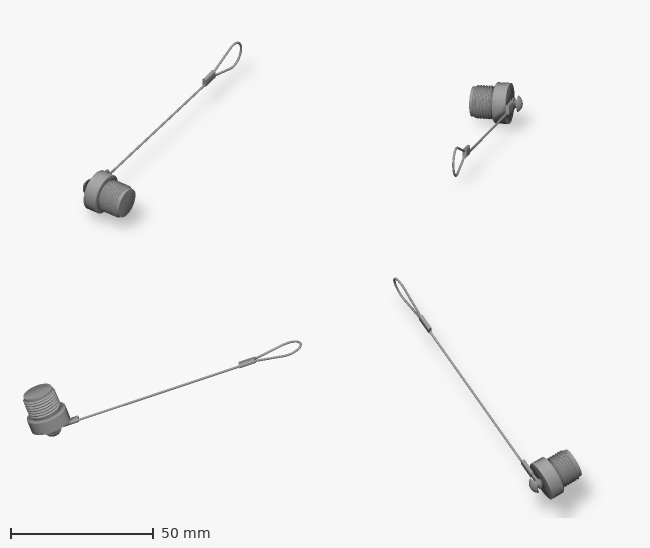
import cadquery as cq
import math


flange_radius = 7.2
flange_length = 4.9
barrel_radius = 5.3
barrel_end = 13.5
flange_chamfer = 0.2
thread_root_radius = 5.4
thread_radius = 5.9
thread_pitch = 1.0
thread_start = 5.7
thread_end = 12.5
thread_chamfer = 0.5
ridge_start = 5.1
ridge_turns = 9
ridge_base = 0.9
ridge_crest = 0.1
ridge_sink = 0.1
trim_clearance = 0.2

stem_radius = 1.4
stem_length = 2.9
head_radius = 2.9
head_height = 1.6

cable_radius = 0.4
cable_x = -1.3
near_loop_radius = stem_radius + cable_radius
far_loop_radius = 4.9
far_loop_outer_end = 93.3
far_loop_y = far_loop_outer_end - far_loop_radius - cable_radius

strand_offset = 1.1
ferrule_radius = 0.7
ferrule_length = 6.0
near_ferrule_y = 3.8
far_ferrule_y = 69.9
strand_stub = 0.5


def disc_along_x(radius, start_x, end_x):
    return cq.Workplane("YZ", origin=(start_x, 0, 0)).circle(radius).extrude(end_x - start_x)


def make_thread_ridge():
    """Right-handed helical ridge that overruns both ends of the thread and whose base
    sinks slightly below the thread root."""
    base_radius = thread_root_radius - ridge_sink
    helix = cq.Wire.makeHelix(thread_pitch, ridge_turns * thread_pitch, thread_radius)
    ridge = (
        cq.Workplane("XZ")
        .polyline([
            (base_radius, ridge_base / 2),
            (thread_radius, ridge_crest / 2),
            (thread_radius, -ridge_crest / 2),
            (base_radius, -ridge_base / 2),
        ])
        .close()
        .sweep(cq.Workplane(obj=helix), isFrenet=True)
    )
    return ridge.rotate((0, 0, 0), (0, 1, 0), 90).translate((ridge_start, 0, 0))


def make_thread():
    """Threaded part of the plug, with a square start and a 45 degree chamfered end."""
    trim_radius = thread_radius + trim_clearance
    trim_chamfer = thread_chamfer + trim_clearance
    trim = disc_along_x(trim_radius, thread_start, thread_end).faces(">X").chamfer(trim_chamfer)
    core = disc_along_x(thread_root_radius, thread_start, thread_end)
    return make_thread_ridge().intersect(trim).union(core)


def make_plug():
    flange = disc_along_x(flange_radius, 0, flange_length).faces(">X").chamfer(flange_chamfer)
    neck = disc_along_x(barrel_radius, flange_length, thread_start)
    tip = disc_along_x(barrel_radius, thread_end, barrel_end)
    return flange.union(neck).union(make_thread()).union(tip)


def make_rivet():
    dome_sphere_radius = (head_radius**2 + head_height**2) / (2 * head_height)
    head_tip = -stem_length - head_height
    dome_mid_angle = math.asin(head_radius / dome_sphere_radius) / 2
    dome_mid = (
        head_tip + dome_sphere_radius * (1 - math.cos(dome_mid_angle)),
        dome_sphere_radius * math.sin(dome_mid_angle),
    )
    return (
        cq.Workplane("XY")
        .moveTo(0, 0)
        .lineTo(0, stem_radius)
        .lineTo(-stem_length, stem_radius)
        .lineTo(-stem_length, head_radius)
        .threePointArc(dome_mid, (head_tip, 0))
        .close()
        .revolve(360, (0, 0, 0), (1, 0, 0))
    )


def tangent_angle(reach, loop_radius):
    """Angle between the cable direction and a strand that leaves a ferrule mouth
    `reach` away from the loop centre and runs tangent to the loop."""
    distance = math.hypot(reach, strand_offset)
    return math.asin(loop_radius / distance) - math.asin(strand_offset / distance)


def make_cable():
    """Round cable swept along both loops and the straight run between them."""
    far_mouth = far_ferrule_y + ferrule_length + strand_stub
    near_mouth = near_ferrule_y - strand_stub
    far_angle = tangent_angle(far_loop_y - far_mouth, far_loop_radius)
    near_angle = tangent_angle(near_mouth, near_loop_radius)
    far_touch_y = far_loop_y - far_loop_radius * math.sin(far_angle)
    far_touch_z = far_loop_radius * math.cos(far_angle)
    near_touch_y = near_loop_radius * math.sin(near_angle)
    near_touch_z = near_loop_radius * math.cos(near_angle)
    path = (
        cq.Workplane("YZ", origin=(cable_x, 0, 0))
        .moveTo(far_ferrule_y, strand_offset)
        .lineTo(far_mouth, strand_offset)
        .lineTo(far_touch_y, far_touch_z)
        .threePointArc((far_loop_y + far_loop_radius, 0), (far_touch_y, -far_touch_z))
        .lineTo(far_mouth, -strand_offset)
        .lineTo(near_mouth, -strand_offset)
        .lineTo(near_touch_y, -near_touch_z)
        .threePointArc((-near_loop_radius, 0), (near_touch_y, near_touch_z))
        .lineTo(near_mouth, strand_offset)
        .lineTo(near_ferrule_y + ferrule_length, strand_offset)
    )
    return (
        cq.Workplane("XZ", origin=(cable_x, far_ferrule_y, strand_offset))
        .circle(cable_radius)
        .sweep(path, transition="right")
    )


def make_ferrule(start_y):
    """Flat sleeve from start_y towards +Y, with one bore for each strand."""
    sleeve_height = 2 * (strand_offset + ferrule_radius)
    return (
        cq.Workplane("XZ", origin=(cable_x, start_y, 0))
        .slot2D(sleeve_height, 2 * ferrule_radius, 90)
        .pushPoints([(0, strand_offset), (0, -strand_offset)])
        .circle(cable_radius)
        .extrude(-ferrule_length)
    )


plug = make_plug()
rivet = make_rivet()
cable = make_cable()
ferrules = [make_ferrule(start_y) for start_y in (near_ferrule_y, far_ferrule_y)]

result = cq.Compound.makeCompound(
    [plug.val(), rivet.val(), cable.val(), *[ferrule.val() for ferrule in ferrules]]
)